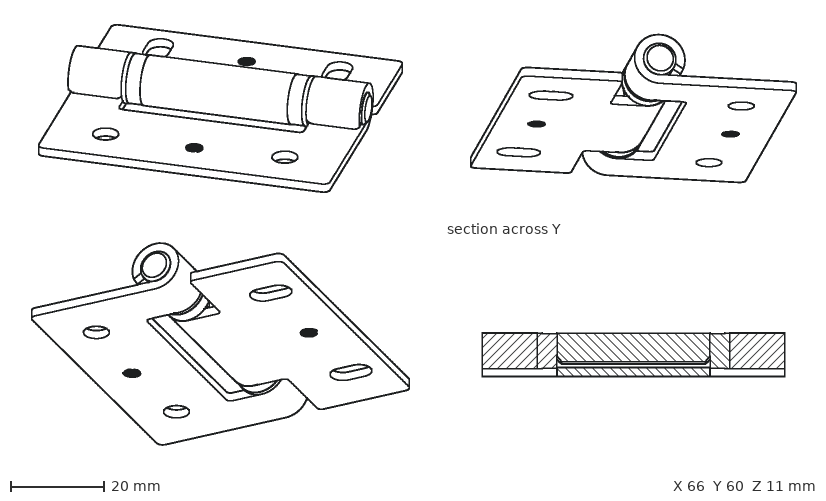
import cadquery as cq
import math


pin_span = 66.0
leaf_width = 65.0
leaf_reach = 60.0 / 2
sheet = 2.0

barrel_radius = 11.0 / 2
bore_radius = barrel_radius - sheet
inner_span = 41.25
middle_width = 32.9
roll_end_angle = 31.0
roll_end_chamfer = 1.0

shoulder = 8.0
corner_round = 1.45
notch_round = 1.0

screw_spacing = 40.0
screw_diameter = 5.55
screw_offset = 20.0
slot_offset = 21.5
slot_length = 9.4

tap_offset = 21.1
tap_diameter = 3.25
thread_diameter = 3.8
thread_pitch = 0.7
groove_mouth = 0.6
groove_floor = 0.1
groove_overlap = 0.05
thread_turns = 4
thread_start_angle = -60.0

flange_width = 1.0
neck_radius = 5.4
tip_bevel = 0.65

plate_bottom = -barrel_radius
plate_top = plate_bottom + sheet
half_leaf = leaf_width / 2
half_inner = inner_span / 2
half_middle = middle_width / 2
end_knuckle_width = half_leaf - half_inner


def sheet_block(x_start, x_end, y_start, y_end):
    """Flat piece of sheet between two X and two Y limits."""
    return (
        cq.Workplane("XY", origin=(0, 0, plate_bottom))
        .moveTo(x_start, y_start)
        .lineTo(x_end, y_start)
        .lineTo(x_end, y_end)
        .lineTo(x_start, y_end)
        .close()
        .extrude(sheet)
    )


def round_corners(body, corners, radius):
    """Round the vertical edges that stand on the given (x, y) corners."""
    size = sheet / 2
    for x, y in corners:
        picker = cq.selectors.BoxSelector(
            (x - size, y - size, plate_bottom - size), (x + size, y + size, plate_top + size)
        )
        body = body.edges("|Z").edges(picker).fillet(radius)
    return body


def barrel_point(radius, angle):
    """(y, z) point on a circle round the barrel axis."""
    turn = math.radians(angle)
    return radius * math.cos(turn), radius * math.sin(turn)


def rolled_knuckle(x_start, width):
    """Sheet rolled from the bottom of the barrel over the +Y side and the top, with chamfered end corners."""
    bottom = -90.0
    end = 180.0 + roll_end_angle
    middle = (bottom + end) / 2
    roll = (
        cq.Workplane("YZ", origin=(x_start, 0, 0))
        .moveTo(*barrel_point(barrel_radius, bottom))
        .threePointArc(barrel_point(barrel_radius, middle), barrel_point(barrel_radius, end))
        .lineTo(*barrel_point(bore_radius, end))
        .threePointArc(barrel_point(bore_radius, middle), barrel_point(bore_radius, bottom))
        .close()
        .extrude(width)
    )
    y, z = barrel_point(barrel_radius - sheet / 2, end)
    for x in (x_start, x_start + width):
        roll = roll.edges(cq.selectors.NearestToPointSelector((x, y, z))).chamfer(roll_end_chamfer)
    return roll


def leaf_blank(knuckles):
    """Leaf on the -Y side: plate, and a tongue and a knuckle for each (x_start, width)."""
    leaf = sheet_block(-half_leaf, half_leaf, -leaf_reach, -shoulder)
    for x_start, width in knuckles:
        tongue = sheet_block(x_start, x_start + width, -shoulder, 0)
        leaf = leaf.union(tongue).union(rolled_knuckle(x_start, width))
    return leaf.clean()


def cut_tapped_hole(leaf):
    """Threaded hole through the sheet on the leaf's centre line."""
    thread_height = thread_turns * thread_pitch
    start_z = plate_bottom + (sheet - thread_height) / 2
    bore_edge = tap_diameter / 2
    hole = (
        cq.Workplane("XY", origin=(0, -tap_offset, plate_bottom))
        .circle(bore_edge)
        .extrude(sheet)
    )
    helix = cq.Wire.makeHelix(thread_pitch, thread_height, bore_edge)
    groove = (
        cq.Workplane("XZ")
        .moveTo(bore_edge - groove_overlap, -groove_mouth / 2)
        .lineTo(thread_diameter / 2, -groove_floor / 2)
        .lineTo(thread_diameter / 2, groove_floor / 2)
        .lineTo(bore_edge - groove_overlap, groove_mouth / 2)
        .close()
        .sweep(cq.Workplane(obj=helix), isFrenet=True)
        .rotate((0, 0, 0), (0, 0, 1), thread_start_angle)
        .translate((0, -tap_offset, start_z))
    )
    return leaf.cut(groove).cut(hole)


def slotted_holes():
    """Cutters for the two slots."""
    return (
        cq.Workplane("XY", origin=(0, -slot_offset, plate_bottom))
        .rarray(screw_spacing, 0.65, 2, 1)
        .slot2D(slot_length, screw_diameter, 90)
        .extrude(sheet)
    )


def round_holes():
    """Cutters for the two round screw holes."""
    return (
        cq.Workplane("XY", origin=(0, -screw_offset, plate_bottom))
        .rarray(screw_spacing, 0.65, 2, 1)
        .circle(screw_diameter / 2)
        .extrude(sheet)
    )


outer_corners = [(side * half_leaf, -leaf_reach) for side in (-1, 1)]


def outer_knuckle_leaf():
    """Leaf on the -Y side with a knuckle at each end and round screw holes."""
    leaf = leaf_blank([(-half_leaf, end_knuckle_width), (half_inner, end_knuckle_width)])
    leaf = round_corners(leaf, outer_corners, corner_round)
    leaf = round_corners(leaf, [(side * half_inner, -shoulder) for side in (-1, 1)], notch_round)
    return cut_tapped_hole(leaf.cut(round_holes()))


def middle_knuckle_leaf():
    """Leaf on the +Y side with one middle knuckle and slots, made on the -Y side and turned round."""
    leaf = leaf_blank([(-half_middle, middle_width)])
    leaf = round_corners(leaf, outer_corners, corner_round)
    shoulder_corners = [(side * x, -shoulder) for side in (-1, 1) for x in (half_middle, half_leaf)]
    leaf = round_corners(leaf, shoulder_corners, notch_round)
    leaf = cut_tapped_hole(leaf.cut(slotted_holes()))
    return leaf.rotate((0, 0, 0), (0, 0, 1), 180)


def end_plug(side):
    """Plug turned about the X axis: bevelled pin, flange, neck and a stub inside the middle knuckle."""
    neck_start = half_inner - flange_width
    stub_end = half_middle - end_knuckle_width
    outline = [
        (stub_end, 0),
        (stub_end, bore_radius),
        (half_middle, bore_radius),
        (half_middle, neck_radius),
        (neck_start, neck_radius),
        (neck_start, barrel_radius),
        (half_inner, barrel_radius),
        (half_inner, bore_radius),
        (pin_span / 2 - tip_bevel, bore_radius),
        (pin_span / 2, bore_radius - tip_bevel),
        (pin_span / 2, 0),
    ]
    plug = cq.Workplane("XZ").polyline([(side * x, r) for x, r in outline]).close()
    return plug.revolve(360, (0, 0, 0), (1, 0, 0))


outer_leaf = outer_knuckle_leaf()
middle_leaf = middle_knuckle_leaf()
plugs = [end_plug(side) for side in (-1, 1)]

result = cq.Compound.makeCompound(
    [outer_leaf.val(), middle_leaf.val(), *[plug.val() for plug in plugs]]
)